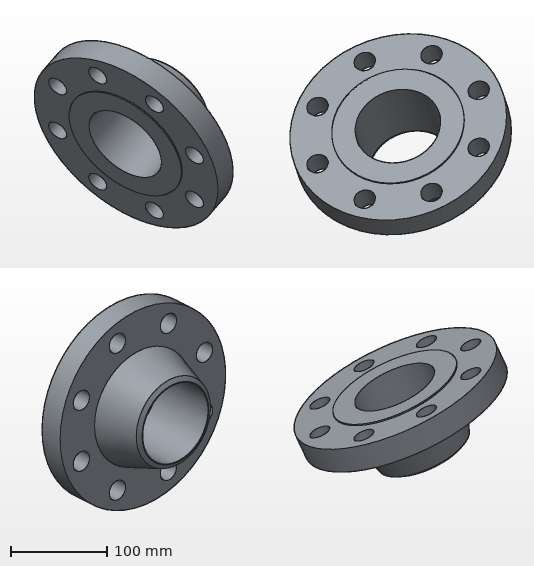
import cadquery as cq

flange_diameter = 228.5
flange_thickness = 28.5
face_diameter = 139.7
face_height = 1.5
bore_diameter = 90.0

total_length = 81.2
hub_base_diameter = 133.5
neck_diameter = 102.5
weld_end_diameter = 92.0
weld_bevel_length = 3.2

bolt_count = 8
bolt_hole_diameter = 22.5
bolt_circle_diameter = 184.0

flange_back = face_height + flange_thickness
bevel_start = total_length - weld_bevel_length


def revolved_body():
    """Half section (radius, Y) with the bore left open, revolved about Y."""
    bore_radius = bore_diameter / 2
    return (
        cq.Workplane("XY")
        .moveTo(bore_radius, 0)
        .lineTo(face_diameter / 2, 0)
        .lineTo(face_diameter / 2, face_height)
        .lineTo(flange_diameter / 2, face_height)
        .lineTo(flange_diameter / 2, flange_back)
        .lineTo(hub_base_diameter / 2, flange_back)
        .lineTo(neck_diameter / 2, bevel_start)
        .lineTo(weld_end_diameter / 2, total_length)
        .lineTo(bore_radius, total_length)
        .close()
        .revolve(360, (0, 0, 0), (0, 1, 0))
    )


def bolt_holes():
    """Through holes straddling the X and Z axes."""
    half_pitch = 360 / bolt_count / 2
    return (
        cq.Workplane("XZ")
        .polarArray(bolt_circle_diameter / 2, half_pitch, 360, bolt_count)
        .circle(bolt_hole_diameter / 2)
        .extrude(-flange_back)
    )


result = revolved_body().cut(bolt_holes())